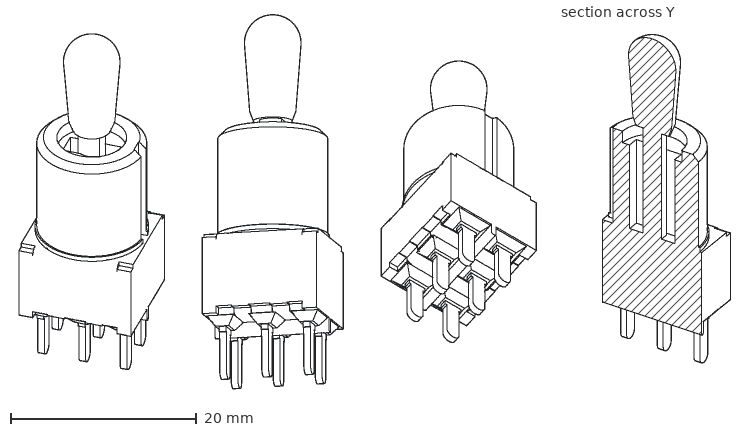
import cadquery as cq


HOUSING_X = 12.7
HOUSING_Y = 11.42
HOUSING_BOTTOM = 6.62
HOUSING_TOP = 15.5
EDGE_RADIUS = 0.75
CORNER_X = 1.57
CORNER_Y = 0.75
CORNER_DEPTH = 0.5
MID_LENGTH = HOUSING_X - 2 * CORNER_X

RECESS_DEPTH = 1.05
RECESS_HEIGHT = 0.75
RELIEF_INNER = 1.17
RELIEF_OUTER = 3.1
RELIEF_RADIUS = 0.65

RIB_THICKNESS = 0.65
RIB_BOTTOM = 5.05

ROW_PITCH = 4.8
COLUMN_PITCH = 4.7
PIN_X = 0.75
PIN_Y = 1.6
SHOULDER_Y = 2.1
SHOULDER_BOTTOM = 5.05
COLLAR_BOTTOM = 5.6
COLLAR_TOP_X = 3.0
COLLAR_TOP_Y = 4.25
COLLAR_END_X = 1.5
COLLAR_END_Y = 2.55

FLANGE_DIAMETER = 12.25
FLANGE_THICKNESS = 0.52
BARREL_DIAMETER = 11.85
BARREL_TOP = 27.5
BARREL_CHAMFER = 0.73
BORE_DIAMETER = 7.5
BORE_DEPTH = 1.45
SLOT_X = 5.75
SLOT_Y = 2.6
KEYWAY_WIDTH = 1.57
KEYWAY_FLOOR_X = 5.05

NECK_DIAMETER = 3.1
NECK_THICKNESS = 2.42
TIP_RADIUS = 3.05
GRIP_BOTTOM = 28.7
GRIP_CHAMFER_TOP = 29.8
GRIP_END_RADIUS = 2.1
GRIP_LOWER_RADIUS = 2.5
TOTAL_HEIGHT = 40.35


def block(length, width, bottom, top, x=0.0, y=0.0):
    """Box centred on (x, y) and spanning bottom to top in Z."""
    height = top - bottom
    return cq.Workplane("XY").box(length, width, height, (True, True, False)).translate((x, y, bottom))


def cylinder(diameter, bottom, top):
    """Cylinder on the lever axis spanning bottom to top in Z."""
    return cq.Workplane("XY", origin=(0, 0, bottom)).circle(diameter / 2).extrude(top - bottom)


def edge_rounding(length, radius, x, y, z, vertical):
    """Waste piece that rounds a +Y edge at (y, z); vertical is +1 for a top edge, -1 for a bottom edge."""
    inner_z = z - vertical * radius
    rod = cq.Workplane("YZ").center(y - radius, inner_z).circle(radius).extrude(length / 2, both=True)
    corner = block(length, radius, min(z, inner_z), max(z, inner_z), 0, y - radius / 2)
    return corner.cut(rod).translate((x, 0, 0))


def both_long_sides(shape):
    """Shape together with its mirror image across the XZ plane."""
    return shape.union(shape.mirror("XZ"))


def make_housing():
    """Box with worked upper and lower long edges, the same on both sides."""
    housing = block(HOUSING_X, HOUSING_Y, HOUSING_BOTTOM, HOUSING_TOP)
    side_y = HOUSING_Y / 2

    waste = edge_rounding(MID_LENGTH, EDGE_RADIUS, 0, side_y, HOUSING_TOP, 1)
    for side in (-1, 1):
        corner_x = side * (HOUSING_X - CORNER_X) / 2
        corner_y = side_y - CORNER_Y / 2
        waste = waste.union(
            block(CORNER_X, CORNER_Y, HOUSING_TOP - CORNER_DEPTH, HOUSING_TOP, corner_x, corner_y)
        )

    recess_y = side_y - RECESS_DEPTH / 2
    relief_top = HOUSING_BOTTOM + RELIEF_RADIUS
    recess_top = HOUSING_BOTTOM + RECESS_HEIGHT
    relief_length = RELIEF_OUTER - RELIEF_INNER
    relief_center = (RELIEF_OUTER + RELIEF_INNER) / 2
    tab_length = MID_LENGTH / 2 - RELIEF_OUTER
    tab_center = RELIEF_OUTER + tab_length / 2
    waste = waste.union(block(MID_LENGTH, RECESS_DEPTH, HOUSING_BOTTOM, relief_top, 0, recess_y))
    waste = waste.union(block(2 * RELIEF_INNER, RECESS_DEPTH, HOUSING_BOTTOM, recess_top, 0, recess_y))
    for side in (-1, 1):
        tab_x = side * tab_center
        relief_x = side * relief_center
        waste = waste.union(block(tab_length, RECESS_DEPTH, HOUSING_BOTTOM, recess_top, tab_x, recess_y))
        waste = waste.union(
            edge_rounding(relief_length, RELIEF_RADIUS, relief_x, side_y - RECESS_DEPTH, HOUSING_BOTTOM, -1)
        )
    return housing.cut(both_long_sides(waste))


def round_ended_blade(length, width, bottom, top):
    """Plate of the given X length and Y width whose lower end is a half round."""
    radius = width / 2
    return (
        cq.Workplane("YZ")
        .moveTo(-radius, top)
        .lineTo(-radius, bottom + radius)
        .threePointArc((0, bottom), (radius, bottom + radius))
        .lineTo(radius, top)
        .close()
        .extrude(length / 2, both=True)
    )


def make_terminal():
    """Flat pin with a short shoulder and a tapered collar below the housing."""
    pin = round_ended_blade(PIN_X, PIN_Y, 0, HOUSING_BOTTOM)
    shoulder = block(PIN_X, SHOULDER_Y, SHOULDER_BOTTOM, HOUSING_BOTTOM)
    collar = (
        cq.Workplane("XY", origin=(0, 0, COLLAR_BOTTOM))
        .rect(COLLAR_END_X, COLLAR_END_Y)
        .workplane(offset=HOUSING_BOTTOM - COLLAR_BOTTOM)
        .rect(COLLAR_TOP_X, COLLAR_TOP_Y)
        .loft(ruled=True)
    )
    return pin.union(shoulder).union(collar)


def make_bushing():
    """Flanged barrel with a bore, a slot for the lever and a keyway on its +X side."""
    flange_top = HOUSING_TOP + FLANGE_THICKNESS
    flange = cylinder(FLANGE_DIAMETER, HOUSING_TOP, flange_top)
    barrel = cylinder(BARREL_DIAMETER, flange_top, BARREL_TOP).faces(">Z").chamfer(BARREL_CHAMFER)
    bore_floor = BARREL_TOP - BORE_DEPTH
    bore = cylinder(BORE_DIAMETER, bore_floor, BARREL_TOP)
    slot = block(SLOT_X, SLOT_Y, HOUSING_TOP, bore_floor)
    keyway_length = FLANGE_DIAMETER / 2 - KEYWAY_FLOOR_X
    keyway_x = KEYWAY_FLOOR_X + keyway_length / 2
    keyway = block(keyway_length, KEYWAY_WIDTH, HOUSING_TOP, BARREL_TOP, keyway_x)
    return flange.union(barrel).cut(bore).cut(slot).cut(keyway)


def make_lever():
    """Neck and grip as one piece."""
    neck = cylinder(NECK_DIAMETER, HOUSING_TOP, GRIP_BOTTOM)
    neck = neck.intersect(block(NECK_THICKNESS, NECK_DIAMETER, HOUSING_TOP, GRIP_BOTTOM))

    tip_center = TOTAL_HEIGHT - TIP_RADIUS
    grip = (
        cq.Workplane("XZ")
        .moveTo(0, GRIP_BOTTOM)
        .lineTo(GRIP_END_RADIUS, GRIP_BOTTOM)
        .lineTo(GRIP_LOWER_RADIUS, GRIP_CHAMFER_TOP)
        .lineTo(TIP_RADIUS, tip_center)
        .radiusArc((0, TOTAL_HEIGHT), -TIP_RADIUS)
        .close()
        .revolve(360, (0, 0, 0), (0, 1, 0))
    )
    return neck.union(grip)


def make_terminals():
    """Two rows of three terminals."""
    terminal = make_terminal()
    terminals = cq.Workplane("XY")
    for column in (-1, 0, 1):
        for row in (-0.5, 0.5):
            terminals = terminals.union(terminal.translate((column * COLUMN_PITCH, row * ROW_PITCH, 0)))
    return terminals


rib = round_ended_blade(HOUSING_X, RIB_THICKNESS, RIB_BOTTOM, HOUSING_BOTTOM)
result = make_housing().union(rib).union(make_terminals()).union(make_bushing()).union(make_lever())